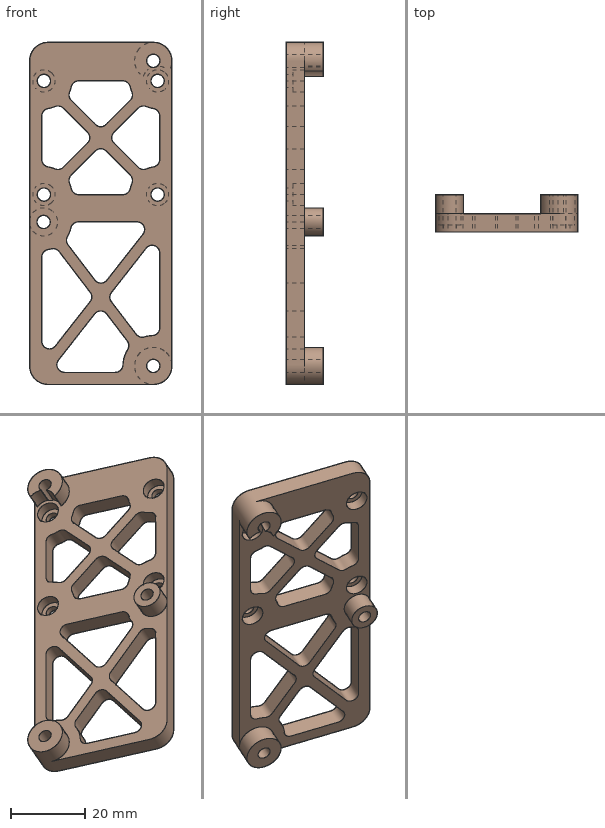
import cadquery as cq
width = 38.3
height = 92.0
plate_thickness = 5.0
total_depth = 10.0
border = 3.3
strut_width = 3.0
window_fillet = 2.0
hole_diameter = 3.5

large_boss_diameter = 10.0
small_boss_diameter = 7.5
large_boss_radius = large_boss_diameter / 2
corner_radius = large_boss_radius
small_boss_z = 43.7

screw_spacing = 30.5
screw_center_z = 66.3
counterbore_diameter = 6.0
counterbore_floor_y = 1.8
screw_clearance_diameter = 8.0

pad_radius = 7.5
corner_pad_radius = 8.2

large_boss_x = width / 2 - large_boss_radius
top_boss = (large_boss_x, height - large_boss_radius)
bottom_boss = (large_boss_x, large_boss_radius)
side_boss = (small_boss_diameter / 2 - width / 2, small_boss_z)

screw_half = screw_spacing / 2
screw_points = [
    (side_x * screw_half, screw_center_z + side_z * screw_half)
    for side_x in (-1, 1)
    for side_z in (-1, 1)
]

window_half_width = width / 2 - border


def block(x_size, z_low, z_high):
    """Rectangular block through the plate, centered on X = 0."""
    plane = cq.Workplane("XZ").center(0, (z_low + z_high) / 2)
    return plane.rect(x_size, z_high - z_low).extrude(-plate_thickness)


def cylinder(point, diameter, y_start, y_end):
    """Cylinder along Y around an (x, z) point; its seam lies on the -X side, away from the rounded plate corners."""
    plane = cq.Plane(origin=(point[0], y_start, point[1]), xDir=(-1, 0, 0), normal=(0, 1, 0))
    return cq.Workplane(plane).circle(diameter / 2).extrude(y_end - y_start)


def strut(start, end):
    """Straight bar through two (x, z) points, long enough to cross its window."""
    direction = cq.Vector(end[0] - start[0], 0, end[1] - start[1])
    middle = ((start[0] + end[0]) / 2, 0, (start[1] + end[1]) / 2)
    plane = cq.Plane(origin=middle, xDir=direction, normal=(0, -1, 0))
    return cq.Workplane(plane).rect(2 * height, strut_width).extrude(-plate_thickness)


def windows(z_low, z_high, diagonals, pads):
    """Rectangular opening divided by two diagonal struts, kept clear of the round pads."""
    opening = block(2 * window_half_width, z_low, z_high)
    for start, end in diagonals:
        opening = opening.cut(strut(start, end))
    for point, radius in pads:
        opening = opening.cut(cylinder(point, 2 * radius, 0, plate_thickness))
    return opening.edges("|Y").fillet(window_fillet)


result = block(width, 0, height).edges("|Y").fillet(corner_radius)

upper_low = screw_center_z - screw_half
upper_high = screw_center_z + screw_half
lower_left, upper_left, lower_right, upper_right = screw_points
result = result.cut(
    windows(
        upper_low,
        upper_high,
        [(lower_left, upper_right), (upper_left, lower_right)],
        [(point, pad_radius) for point in screw_points],
    )
)

result = result.cut(
    windows(
        border,
        small_boss_z,
        [
            (side_boss, bottom_boss),
            ((-window_half_width, border), (window_half_width, small_boss_z)),
        ],
        [(side_boss, pad_radius), (bottom_boss, corner_pad_radius)],
    )
)

bosses = (
    (top_boss, large_boss_diameter),
    (bottom_boss, large_boss_diameter),
    (side_boss, small_boss_diameter),
)
screw_clearance = cylinder(upper_right, screw_clearance_diameter, plate_thickness, total_depth)
for point, diameter in bosses:
    boss = cylinder(point, diameter, plate_thickness, total_depth)
    if point == top_boss:
        boss = boss.cut(screw_clearance)
    result = result.union(boss)

for point, _ in bosses:
    result = result.cut(cylinder(point, hole_diameter, 0, total_depth))

for point in screw_points:
    hole = cylinder(point, hole_diameter, 0, plate_thickness)
    counterbore = cylinder(point, counterbore_diameter, counterbore_floor_y, plate_thickness)
    result = result.cut(hole.union(counterbore))